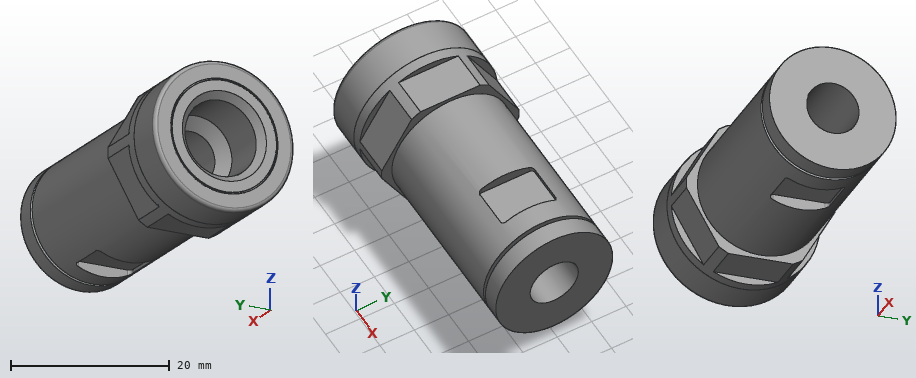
import cadquery as cq

total_length = 38.5
front_rim_end = 5.4
collar_end = 6.9
hex_end = 12.4
retaining_groove_start = 35.4
retaining_groove_width = 0.5

front_rim_diameter = 20.0
collar_diameter = 19.98
body_diameter = 17.0
retaining_groove_diameter = 12.5
front_edge_radius = 0.5

hex_across_flats = 18.0
hex_turn = 30.0

pocket_start = 26.25
pocket_length = 6.15
pocket_width = 8.0
pocket_corner_radius = 0.5
pocket_across_floors = 14.0

lead_in_diameter = 12.0
socket_diameter = 10.16
through_diameter = 7.0
lead_in_depth = 1.0
socket_end = 7.5
taper_depth = (socket_diameter - through_diameter) / 2

face_groove_inner_diameter = 14.88
face_groove_outer_diameter = 15.28
face_groove_depth = 0.2


def circle_at(x, diameter):
    """Circle centred on the X axis, facing +X."""
    return cq.Workplane("YZ", origin=(x, 0, 0)).circle(diameter / 2)


def cylinder(x_start, x_end, diameter):
    return circle_at(x_start, diameter).extrude(x_end - x_start)


def ring(x_start, x_end, inner_diameter, outer_diameter):
    return circle_at(x_start, outer_diameter).circle(inner_diameter / 2).extrude(x_end - x_start)


def make_outside():
    rim = cylinder(0, front_rim_end, front_rim_diameter).faces("<X").edges().fillet(front_edge_radius)
    collar = cylinder(front_rim_end, collar_end, collar_diameter)
    body = cylinder(collar_end, total_length, body_diameter)
    return rim.union(collar).union(make_hex_section()).union(body)


def make_hex_section():
    """Hexagon with flats facing +Z and -Z, trimmed to the collar diameter."""
    hex_length = hex_end - collar_end
    hexagon = (
        cq.Workplane("YZ", origin=(collar_end, 0, 0))
        .polygon(6, hex_across_flats, circumscribed=True)
        .extrude(hex_length)
        .rotate((0, 0, 0), (1, 0, 0), hex_turn)
    )
    return hexagon.intersect(cylinder(collar_end, hex_end, collar_diameter))


def make_bore():
    """Profile of the bore in the XY plane, revolved about the X axis."""
    taper_end = socket_end + taper_depth
    return (
        cq.Workplane("XY")
        .moveTo(0, 0)
        .lineTo(0, lead_in_diameter / 2)
        .lineTo(lead_in_depth, socket_diameter / 2)
        .lineTo(socket_end, socket_diameter / 2)
        .lineTo(taper_end, through_diameter / 2)
        .lineTo(total_length, through_diameter / 2)
        .lineTo(total_length, 0)
        .close()
        .revolve(360, (0, 0, 0), (1, 0, 0))
    )


def make_wrench_pocket(side):
    """Flat-floored pocket with rounded corners; side is +1 for top, -1 for bottom."""
    floor_height = pocket_across_floors / 2
    cut_height = body_diameter / 2
    return (
        cq.Workplane("XY")
        .box(pocket_length, pocket_width, cut_height)
        .edges("|Z")
        .fillet(pocket_corner_radius)
        .translate((pocket_start + pocket_length / 2, 0, side * (floor_height + cut_height / 2)))
    )


def make_retaining_groove():
    groove_end = retaining_groove_start + retaining_groove_width
    return ring(retaining_groove_start, groove_end, retaining_groove_diameter, body_diameter)


def make_face_groove():
    return ring(0, face_groove_depth, face_groove_inner_diameter, face_groove_outer_diameter)


result = make_outside().cut(make_bore()).cut(make_retaining_groove()).cut(make_face_groove())
for pocket_side in (1, -1):
    result = result.cut(make_wrench_pocket(pocket_side))